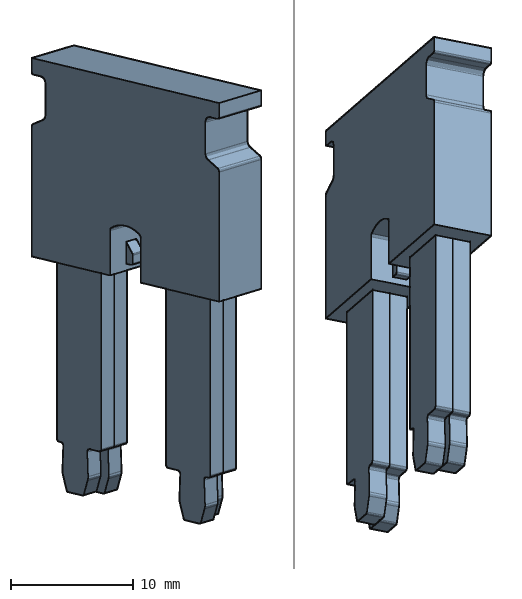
import cadquery as cq


height = 36.55
housing_width = 20.6
housing_depth = 5.2
housing_height = 16.9
housing_bottom = height - housing_height

flange_height = 1.4
grip_depth = 1.5
grip_slope_drop = 0.75
grip_bottom = height - 5.65
flange_edge_radius = 0.2
grip_radius = 0.5
grip_slope_radius = 0.3

slot_width = 3.35
slot_top = height - 12.35
slot_arch_rise = 0.55
slot_corner_radius = 0.3

barb_reach = 0.73
barb_depth = 1.25
barb_bottom = housing_bottom + 0.6
barb_straight_height = 0.95
barb_height = 1.85
barb_radius = 0.2

comb_thickness = 1.57
leg_width = 4.9
leg_spacing = 12.0
shoulder_z = 4.1
bar_bottom = slot_top + 1.45
bar_height = 4.4
shoulder_radius = 0.25

tip_offset = 0.45
tip_root_width = 2.63
tip_flare = 0.1
tip_taper_z = 1.57
tip_end_width = 1.83
tip_taper_radius = 1.0
tip_end_radius = 0.2


def fillet_at(body, points, radius):
    """Round the edges along Y that pass through the given (x, z) points."""
    tolerance = 0.005

    def is_wanted(edge):
        middle = edge.Center()
        return any(
            abs(middle.x - x) < tolerance and abs(middle.z - z) < tolerance
            for x, z in points
        )

    return body.edges("|Y").filter(is_wanted).fillet(radius)


def both_sides(x, z):
    """The point and its mirror image across the YZ plane."""
    return [(x, z), (-x, z)]


def extrude_centred(sketch, depth):
    """Extrude an XZ sketch to equal depths on both sides of the XZ plane."""
    return sketch.extrude(depth / 2, both=True)


def make_housing_block():
    side = housing_width / 2
    neck = side - grip_depth
    flange_bottom = height - flange_height
    slope_top = grip_bottom + grip_slope_drop
    right_side = [
        (side, housing_bottom),
        (side, grip_bottom),
        (neck, slope_top),
        (neck, flange_bottom),
        (side, flange_bottom),
        (side, height),
    ]
    left_side = [(-x, z) for x, z in reversed(right_side)]
    block = extrude_centred(
        cq.Workplane("XZ").polyline(right_side + left_side).close(), housing_depth
    )
    block = fillet_at(block, both_sides(side, flange_bottom), flange_edge_radius)
    block = fillet_at(block, both_sides(neck, flange_bottom), grip_radius)
    block = fillet_at(block, both_sides(neck, slope_top), grip_radius)
    return fillet_at(block, both_sides(side, grip_bottom), grip_slope_radius)


def make_slot():
    wall = slot_width / 2
    arch_start = slot_top - slot_arch_rise
    slot = extrude_centred(
        cq.Workplane("XZ")
        .moveTo(-wall, housing_bottom)
        .lineTo(-wall, arch_start)
        .threePointArc((0, slot_top), (wall, arch_start))
        .lineTo(wall, housing_bottom)
        .close(),
        housing_depth,
    )
    return fillet_at(slot, both_sides(wall, arch_start), slot_corner_radius)


def make_barb():
    """Barb on the +X wall of the slot, sloping away towards the top."""
    wall = slot_width / 2
    nose = wall - barb_reach
    barb = extrude_centred(
        cq.Workplane("XZ").polyline([
            (wall, barb_bottom),
            (nose, barb_bottom),
            (nose, barb_bottom + barb_straight_height),
            (wall, barb_bottom + barb_height),
        ]).close(),
        barb_depth,
    )
    corners = [(nose, barb_bottom), (nose, barb_bottom + barb_straight_height)]
    return fillet_at(barb, corners, barb_radius)


def make_tip(centre_x):
    root = tip_root_width / 2
    widest = root + tip_flare
    end = tip_end_width / 2
    right_side = [(end, 0), (widest, tip_taper_z), (root, shoulder_z)]
    left_side = [(-x, z) for x, z in reversed(right_side)]
    outline = [(centre_x + x, z) for x, z in right_side + left_side]
    tip = extrude_centred(cq.Workplane("XZ").polyline(outline).close(), comb_thickness)
    taper_corners = [(centre_x + x, tip_taper_z) for x in (-widest, widest)]
    end_corners = [(centre_x + x, 0) for x in (-end, end)]
    tip = fillet_at(tip, taper_corners, tip_taper_radius)
    return fillet_at(tip, end_corners, tip_end_radius)


def make_comb(centre_y, tip_shift):
    """A bar with two legs; a positive tip_shift moves the tips away from each other."""
    outer = (leg_spacing + leg_width) / 2
    inner = (leg_spacing - leg_width) / 2
    bar_top = bar_bottom + bar_height
    right_side = [
        (inner, bar_bottom),
        (inner, shoulder_z),
        (outer, shoulder_z),
        (outer, bar_top),
    ]
    left_side = [(-x, z) for x, z in reversed(right_side)]
    comb = extrude_centred(
        cq.Workplane("XZ").polyline(right_side + left_side).close(), comb_thickness
    )
    tip_x = leg_spacing / 2 + tip_shift
    for x in (-tip_x, tip_x):
        comb = comb.union(make_tip(x))

    root = tip_root_width / 2
    for x in (inner, outer, tip_x - root, tip_x + root):
        comb = fillet_at(comb, both_sides(x, shoulder_z), shoulder_radius)
    return comb.translate((0, centre_y, 0))


combs = [
    make_comb(side * comb_thickness / 2, -side * tip_offset)
    for side in (-1, 1)
]

barb = make_barb()
housing = make_housing_block().cut(make_slot())
housing = housing.union(barb).union(barb.mirror("YZ"))
for comb in combs:
    housing = housing.cut(comb)

result = cq.Compound.makeCompound([housing.val(), *[comb.val() for comb in combs]])